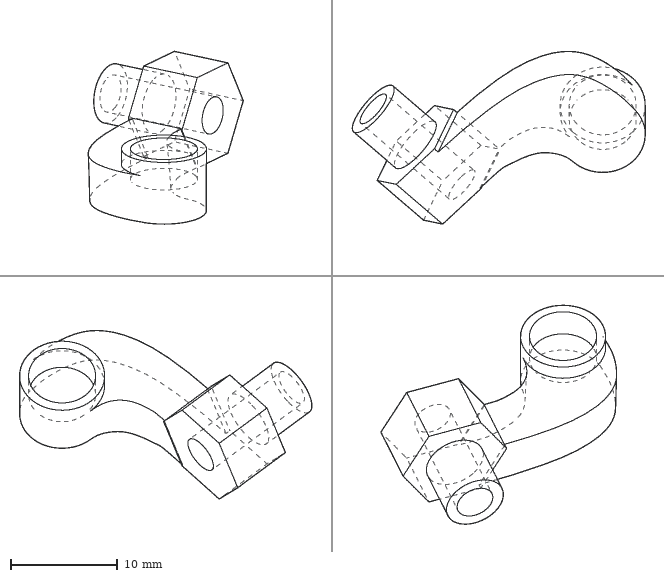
import cadquery as cq
import math

hex_flats = 9.0
hex_length = 6.06
hex_corners = hex_flats / math.cos(math.pi / 6)
hex_corner_y = hex_corners / 2
bottom_z = -hex_flats / 2

tube_length = 5.5
tube_diameter = 5.7
bore_diameter = 3.57

cup_x = 10.35
cup_y = -14.65
cup_radius = 4.0
cup_height = 6.14
cup_bore_diameter = 6.3
cup_floor = 3.12

arm_height = 4.6
arm_left_x = 0.48
arm_right_x = 5.97
arm_end_outer = (cup_x, cup_y - cup_radius)
arm_end_inner = (cup_x, cup_y + cup_radius)
arm_top_start_y = -hex_corner_y + (arm_height - hex_flats / 2) * math.tan(math.pi / 6)
arm_bottom_start_y = -hex_corner_y / 2


def arm_profile(z, start_y, outer_points, inner_points):
    """Closed arm outline at height z, with its curved sides leaving the body along -Y."""
    outer = [(arm_left_x, start_y), *outer_points, arm_end_outer]
    inner = [arm_end_inner, *inner_points, (arm_right_x, start_y)]
    return (
        cq.Workplane("XY", origin=(0, 0, z))
        .moveTo(*outer[0])
        .spline(outer[1:], tangents=[(0, -1), (1, 0.1)], includeCurrent=True)
        .lineTo(*inner[0])
        .spline(inner[1:], tangents=[(-1, 0), (0, 1)], includeCurrent=True)
        .close()
        .wire()
        .val()
    )


def make_arm():
    """Arm whose sides twist slightly between the bottom and top outlines."""
    bottom = arm_profile(
        bottom_z,
        arm_bottom_start_y,
        [(0.77, -8.73), (1.95, -14.26), (4.48, -17.65), (8.3, -18.7)],
        [(8.45, -10.05), (7.4, -9.08), (6.23, -6.38)],
    )
    top = arm_profile(
        bottom_z + arm_height,
        arm_top_start_y,
        [(0.65, -8.73), (1.82, -14.35), (4.4, -17.71), (8.3, -18.77)],
        [(7.89, -10.02), (6.75, -8.8), (6.1, -6.85)],
    )
    return cq.Workplane(cq.Solid.makeLoft([bottom, top], True))


def make_body():
    """Hexagonal body with corners pointing along Y, and its tube."""
    hexagon = cq.Workplane("YZ").polygon(6, hex_corners).extrude(hex_length)
    tube = cq.Workplane("YZ").circle(tube_diameter / 2).extrude(-tube_length)
    return hexagon.union(tube)


def cup_cylinder(radius, floor, top):
    """Vertical cylinder on the cup axis, with heights measured from the part's bottom."""
    base = cq.Workplane("XY", origin=(cup_x, cup_y, bottom_z + floor))
    return base.circle(radius).extrude(top - floor)


through_bore = (
    cq.Workplane("YZ", origin=(-tube_length, 0, 0))
    .circle(bore_diameter / 2)
    .extrude(tube_length + hex_length)
)
cup = cup_cylinder(cup_radius, 0, cup_height)
cup_bore = cup_cylinder(cup_bore_diameter / 2, cup_floor, cup_height)

result = make_body().union(make_arm()).union(cup).cut(through_bore).cut(cup_bore)